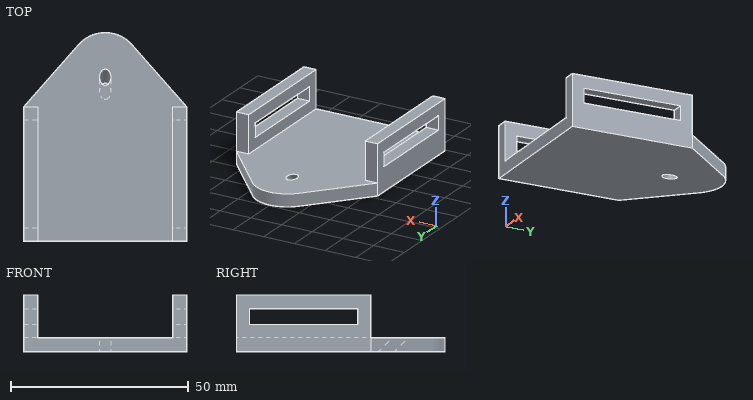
import cadquery as cq
import math

width = 46.0
length = 58.9
height = 16.0
thickness = 4.0
wall_length = 37.95
nose_radius = 10.0

slot_length = 30.45
slot_height = 4.4
slot_bottom = 7.7

hole_diameter = 3.2
hole_y = 46.3
hole_tilt = 45.0

half_width = width / 2
nose_center_y = length - nose_radius


def base_plate():
    """Rectangular plate tapering along tangent lines to a round nose."""
    rise = nose_center_y - wall_length
    center_distance = math.hypot(half_width, rise)
    taper_angle = math.atan2(rise, half_width) + math.asin(nose_radius / center_distance)
    tangent_x = nose_radius * math.sin(taper_angle)
    tangent_y = nose_center_y + nose_radius * math.cos(taper_angle)
    return (
        cq.Workplane("XY")
        .moveTo(-half_width, 0)
        .lineTo(half_width, 0)
        .lineTo(half_width, wall_length)
        .lineTo(tangent_x, tangent_y)
        .threePointArc((0, length), (-tangent_x, tangent_y))
        .lineTo(-half_width, wall_length)
        .close()
        .extrude(thickness)
    )


def side_wall(side):
    """Upright wall on the left (side = -1) or right (side = 1) edge."""
    center_x = side * (half_width - thickness / 2)
    return (
        cq.Workplane("XY")
        .box(thickness, wall_length, height, centered=(True, False, False))
        .translate((center_x, 0, 0))
    )


def strap_slot():
    """Rectangular cutter passing through both walls."""
    return (
        cq.Workplane("XY")
        .box(width, slot_length, slot_height, centered=(True, True, False))
        .translate((0, wall_length / 2, slot_bottom))
    )


def tilted_hole():
    """Slanted round cutter through the plate, centred on its upper face."""
    tilt = math.radians(hole_tilt)
    axis = cq.Vector(0, math.sin(tilt), math.cos(tilt))
    cutter_length = 4 * thickness / math.cos(tilt)
    start = cq.Vector(0, hole_y, thickness) - axis * (cutter_length / 2)
    return cq.Workplane(cq.Solid.makeCylinder(hole_diameter / 2, cutter_length, start, axis))


result = base_plate()
for side in (-1, 1):
    result = result.union(side_wall(side))
result = result.cut(strap_slot()).cut(tilted_hole())